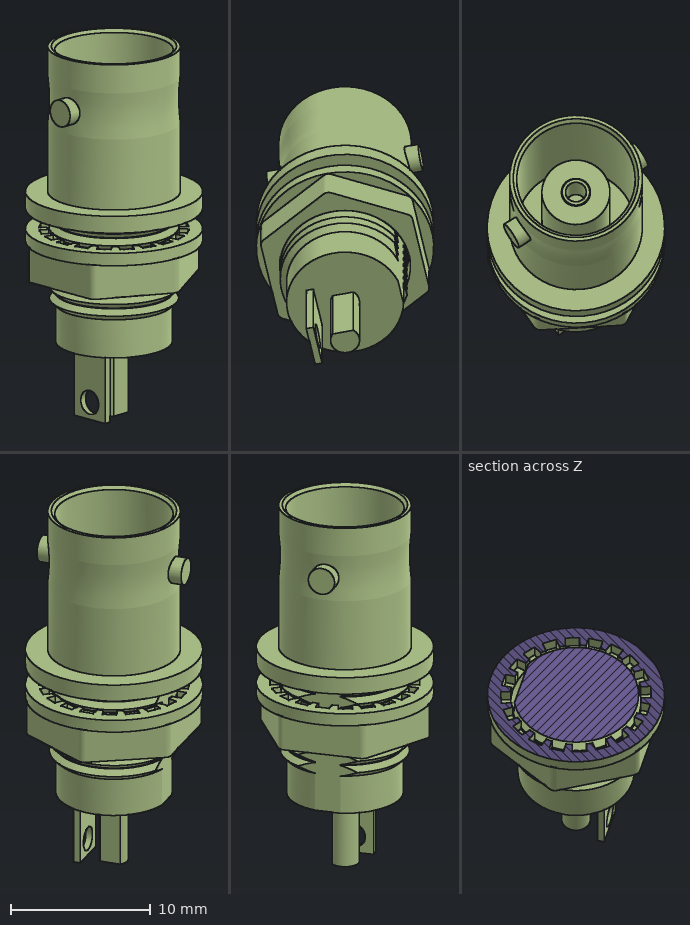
import cadquery as cq
import math

total_height = 27.33
body_bottom = 5.3
flange_bottom = 15.25
flange_top = 16.5
washer_top = 13.75
washer_bottom = 12.82
nut_bottom = 10.25

barrel_radius = 4.75
waist_radius = 4.65
waist_height = 23.48
waist_half_length = 1.72
barrel_bore_radius = 4.24
rim_chamfer = 0.25
lug_radius = 0.98
lug_reach = 5.55
lug_root_radius = (barrel_bore_radius + waist_radius) / 2

insulator_top = 24.15
insulator_radius = 2.43
contact_radius = 1.05
contact_taper = 0.05
socket_radius = 0.75
socket_depth = 2.73

flange_diameter = 12.7
flange_radius = flange_diameter / 2
core_radius = 4.18
thread_radius = 4.65
thread_pitch = 0.87
thread_count = 8
thread_half_height = 0.4
first_crest_height = 8.55
shank_flat_y = 4.07

tab_width = 3.05
tab_thickness = 0.52
tab_front_y = -2.51
tab_hole_radius = 0.87
tab_hole_height = 1.28
pin_flat_x = 0.7

thread_clearance = 0.03
clearance_radius = thread_radius + thread_clearance
slot_count = 20
slot_width = 1.0
slot_outer_radius = 5.35
nut_flats = 11.07
nut_corner_fillet = 0.55


def cylinder(radius, bottom, top):
    """Cylinder on the Z axis between two heights."""
    return cq.Workplane("XY").workplane(offset=bottom).circle(radius).extrude(top - bottom)


def make_barrel():
    """Open tube standing on the flange, with a shallow curved waist and a chamfered rim."""
    waist_top = waist_height + waist_half_length
    waist_bottom = waist_height - waist_half_length
    profile = (
        cq.Workplane("XZ")
        .moveTo(0, flange_bottom)
        .lineTo(flange_radius, flange_bottom)
        .lineTo(flange_radius, flange_top)
        .lineTo(barrel_radius, flange_top)
        .lineTo(barrel_radius, waist_bottom)
        .threePointArc((waist_radius, waist_height), (barrel_radius, waist_top))
        .lineTo(barrel_radius, total_height)
        .lineTo(barrel_bore_radius + rim_chamfer, total_height)
        .lineTo(barrel_bore_radius, total_height - rim_chamfer)
        .lineTo(barrel_bore_radius, flange_top)
        .lineTo(0, flange_top)
        .close()
    )
    return profile.revolve(360, (0, 0), (0, 1))


def make_lugs():
    """Two round bayonet lugs, on the -Y and +Y sides of the waist, rooted inside the barrel wall."""
    bar = (
        cq.Workplane("XZ", origin=(0, 0, waist_height))
        .circle(lug_radius)
        .extrude(lug_reach, both=True)
    )
    return bar.cut(cylinder(lug_root_radius, flange_top, total_height))


def make_shank():
    """Cylinder with ring-shaped thread ridges, flattened on the +Y side."""
    profile = cq.Workplane("XZ").moveTo(0, body_bottom).lineTo(core_radius, body_bottom)
    for ridge in range(thread_count):
        crest = first_crest_height + ridge * thread_pitch
        profile = (
            profile.lineTo(core_radius, crest - thread_half_height)
            .lineTo(thread_radius, crest)
            .lineTo(core_radius, crest + thread_half_height)
        )
    profile = profile.lineTo(core_radius, flange_bottom).lineTo(0, flange_bottom).close()
    shank = profile.revolve(360, (0, 0), (0, 1))
    flat_cut = (
        cq.Workplane("XY", origin=(0, shank_flat_y + thread_radius / 2, body_bottom))
        .rect(2 * thread_radius, thread_radius)
        .extrude(flange_bottom - body_bottom)
    )
    return shank.cut(flat_cut)


def make_solder_tab():
    """Flat tab below the shank with a cross hole near its end."""
    tab = (
        cq.Workplane("XY")
        .center(0, tab_front_y + tab_thickness / 2)
        .rect(tab_width, tab_thickness)
        .extrude(body_bottom)
    )
    hole = (
        cq.Workplane("XZ", origin=(0, tab_front_y + tab_thickness, tab_hole_height))
        .circle(tab_hole_radius)
        .extrude(tab_thickness)
    )
    return tab.cut(hole)


def make_solder_pin():
    """Round pin with a flat on its +X side."""
    pin = cylinder(contact_radius, 0, body_bottom)
    flat_cut = (
        cq.Workplane("XY")
        .center(pin_flat_x + contact_radius / 2, 0)
        .rect(contact_radius, 2 * contact_radius)
        .extrude(body_bottom)
    )
    return pin.cut(flat_cut)


def make_insulator():
    """Central post carrying the slightly raised, tapered end of the contact and its socket."""
    post = cylinder(insulator_radius, flange_top, insulator_top)
    contact_top = insulator_top + contact_taper
    contact_end = (
        cylinder(contact_radius, flange_top, contact_top)
        .faces(">Z")
        .edges()
        .chamfer(contact_taper)
    )
    socket = cylinder(socket_radius, contact_top - socket_depth, contact_top)
    return post.union(contact_end).cut(socket)


def make_housing():
    """Barrel, lugs, threaded shank, insulator, solder tab and pin as one solid."""
    return (
        make_barrel()
        .union(make_shank())
        .union(make_lugs())
        .union(make_insulator())
        .union(make_solder_tab())
        .union(make_solder_pin())
    )


def make_washer():
    """Lock washer with internal teeth left between evenly spaced slots."""
    washer = cylinder(flange_radius, washer_bottom, washer_top)
    washer = washer.cut(cylinder(clearance_radius, washer_bottom, washer_top))
    for index in range(slot_count):
        slot = (
            cq.Workplane("XY", origin=(0, 0, washer_bottom))
            .center(slot_outer_radius / 2, 0)
            .rect(slot_outer_radius, slot_width)
            .extrude(washer_top - washer_bottom)
            .rotate((0, 0, 0), (0, 0, 1), index * 360 / slot_count)
        )
        washer = washer.cut(slot)
    return washer


def make_nut():
    """Hexagonal nut with rounded corners and two flats facing -Y and +Y."""
    hexagon = (
        cq.Workplane("XY", origin=(0, 0, nut_bottom))
        .polygon(6, nut_flats / math.cos(math.pi / 6))
        .extrude(washer_bottom - nut_bottom)
        .edges("|Z")
        .fillet(nut_corner_fillet)
    )
    return hexagon.cut(cylinder(clearance_radius, nut_bottom, washer_bottom))


housing = make_housing()
washer = make_washer()
nut = make_nut()

result = cq.Compound.makeCompound([housing.val(), washer.val(), nut.val()])